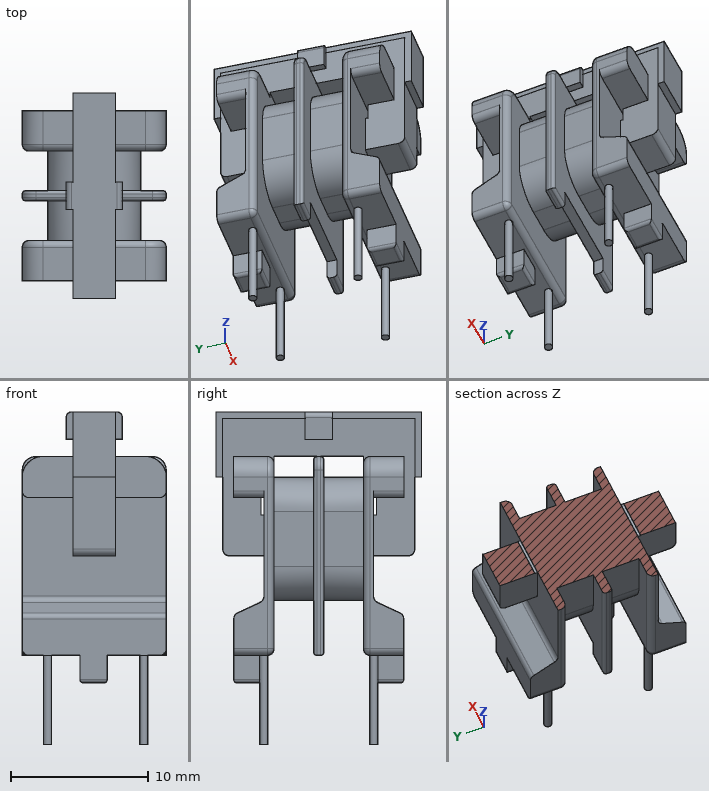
import cadquery as cq
import math


bobbin_width = 10.5
bobbin_height = 14.5
flange_inner_y = 3.25
flange_outer_y = 4.0
block_outer_y = 6.2
block_bottom = 11.5
flange_top_radius = 1.5
flange_edge_radius = 0.5
foot_slope_top = 4.0
foot_slope_angle = 25.0
foot_slope_radius = 0.5
foot_slope_drop = (block_outer_y - flange_outer_y) * math.tan(math.radians(foot_slope_angle))
foot_slope_bottom = foot_slope_top - foot_slope_drop

tube_width = 6.8
tube_bottom = 4.0
tube_top = 13.0
tube_radius = 2.5

partition_thickness = 0.75
partition_top_radius = 1.0
partition_edge_radius = 0.25
partition_leg_width = 1.9
partition_notch_height = 1.6

standoff_width = 2.0
standoff_height = 2.0
standoff_shift_x = -0.05
standoff_edge_radius = 0.25
pin_diameter = 0.6
pin_length = 6.5
pin_x = 3.5
pin_y = 4.0
pin_shift_x = 0.1

core_width = 3.1
core_length = 14.0
core_height = 10.0
core_bottom = 7.25
core_top = core_bottom + core_height
core_corner_radius = 0.5
window_length = 8.4
window_bottom = 10.25

clip_thickness = 0.5
clip_length = core_length + 2 * clip_thickness
clip_bottom = 13.0
clip_top = core_top + clip_thickness
tab_span = 4.1
tab_width = 2.0
tab_height = 2.0
tab_edge_radius = 0.4


def centered_box(size_x, size_y, z_from, z_to):
    """Box centred on the Z axis between two heights."""
    return cq.Workplane("XY", origin=(0, 0, z_from)).rect(size_x, size_y).extrude(z_to - z_from)


def box_along_y(size_x, y_from, y_to, z_from, z_to):
    """Box centred on X = 0 between two Y places and two heights."""
    middle_y = (y_from + y_to) / 2
    return centered_box(size_x, y_to - y_from, z_from, z_to).translate((0, middle_y, 0))


def on_both_ends(body):
    """A body at the -Y end together with its mirror image at the +Y end."""
    return body.union(body.mirror("XZ"))


def edge_at(x, y, z):
    """Selector of the edge whose middle is nearest to a point."""
    return cq.selectors.NearestToPointSelector((x, y, z))


def flange_recess():
    """Space outside the -Y flange, from the sloping foot up to the top block."""
    return (
        cq.Workplane("YZ")
        .moveTo(-flange_outer_y, block_bottom)
        .lineTo(-flange_outer_y, foot_slope_top)
        .lineTo(-block_outer_y, foot_slope_bottom)
        .lineTo(-block_outer_y, block_bottom)
        .close()
        .extrude(bobbin_width / 2, both=True)
    )


def end_flange():
    """Flange at the -Y end, with its top block and sloping foot."""
    flange = box_along_y(bobbin_width, -block_outer_y, -flange_inner_y, 0, bobbin_height)
    flange = flange.edges("|Y and >Z").fillet(flange_top_radius)
    flange = flange.edges("|Y and <Z").fillet(flange_edge_radius)
    flange = flange.faces(">Y").edges().fillet(flange_edge_radius)

    flange = flange.cut(flange_recess())
    flange = flange.edges(edge_at(0, -flange_outer_y, foot_slope_top)).fillet(foot_slope_radius)
    flange = flange.edges(edge_at(0, -block_outer_y, foot_slope_bottom)).fillet(foot_slope_radius)
    block_middle_y = -(flange_outer_y + block_outer_y) / 2
    for side_x in (-bobbin_width / 2, bobbin_width / 2):
        flange = flange.edges(edge_at(side_x, block_middle_y, block_bottom)).fillet(flange_edge_radius)

    square_edge = box_along_y(core_width, -flange_outer_y, -flange_inner_y, core_bottom, bobbin_height)
    return flange.union(square_edge)


def standoff():
    """Foot under the middle of the -Y flange, with a rounded bottom edge."""
    foot = box_along_y(standoff_width, -block_outer_y, -flange_outer_y, -standoff_height, 0)
    foot = foot.translate((standoff_shift_x, 0, 0))
    return foot.faces("<Z").edges().fillet(standoff_edge_radius)


def winding_tube():
    """Rounded tube body between the flanges."""
    tube = centered_box(tube_width, 2 * flange_inner_y, tube_bottom, tube_top)
    return tube.edges("|Y").fillet(tube_radius)


def partition():
    """Thin plate with rounded edges, notched underneath so that two legs remain."""
    plate = centered_box(bobbin_width, partition_thickness, 0, bobbin_height)
    plate = plate.edges("|Y and >Z").fillet(partition_top_radius)
    plate = plate.faces("<Y or >Y").edges().fillet(partition_edge_radius)
    notch_width = bobbin_width - 2 * partition_leg_width
    return plate.cut(centered_box(notch_width, partition_thickness, 0, partition_notch_height))


def pins():
    """Four round pins below the flanges."""
    return (
        cq.Workplane("XY", origin=(pin_shift_x, 0, 0))
        .rect(2 * pin_x, 2 * pin_y, forConstruction=True)
        .vertices()
        .circle(pin_diameter / 2)
        .extrude(-pin_length)
    )


def ring_core():
    """Rectangular ring standing in the YZ plane, rounded at its lower corners."""
    ring = centered_box(core_width, core_length, core_bottom, core_top)
    ring = ring.edges("|X and <Z").fillet(core_corner_radius)
    return ring.cut(centered_box(core_width, window_length, window_bottom, bobbin_height))


def build_transformer():
    """Bobbin, core and pins as one solid."""
    bobbin = winding_tube().union(partition())
    bobbin = bobbin.union(on_both_ends(end_flange()))
    bobbin = bobbin.union(on_both_ends(standoff()))
    return bobbin.union(pins()).union(ring_core())


def build_clip():
    """Strip over the top and ends of the core, with a tab on each side."""
    tabs = centered_box(tab_span, tab_width, clip_top - tab_height, clip_top)
    tabs = tabs.edges("|Y and >Z").fillet(tab_edge_radius)
    clip = centered_box(core_width, clip_length, clip_bottom, clip_top).union(tabs)
    return clip.cut(centered_box(core_width, core_length, clip_bottom, core_top))


transformer = build_transformer()
clip = build_clip()
result = cq.Compound.makeCompound([transformer.val(), clip.val()])